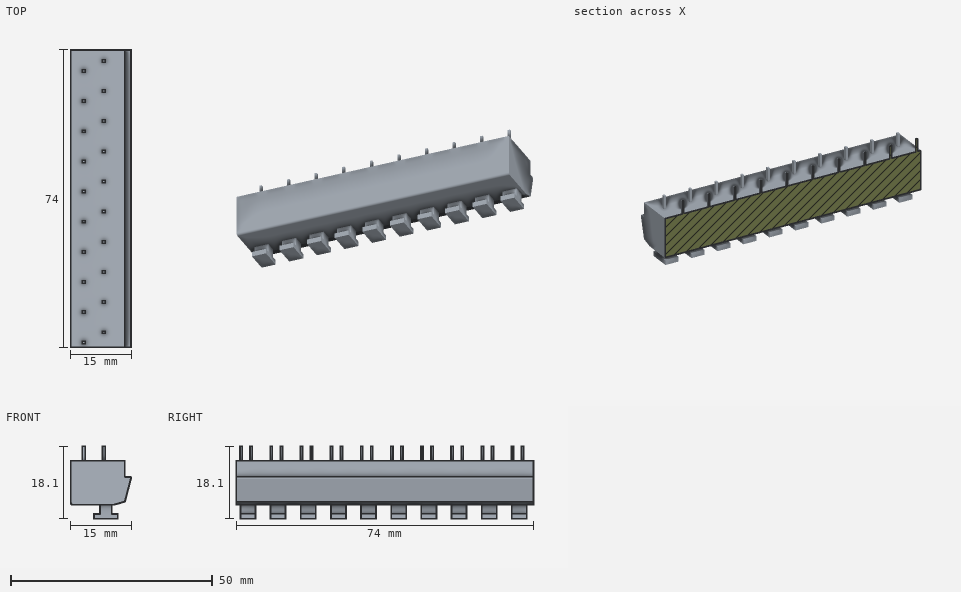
import cadquery as cq


pole_count = 10
pole_pitch = 7.5

length = 74.0
height = 11.0
top_width = 13.5
total_width = 15.0
lip_depth = 4.0
lip_edge_height = 0.5
slope_width = 2.8
slope_rise = 0.8
edge_radius = 0.55
lip_tip_radius = 0.25
lip_root_radius = 0.1

pin_width = 0.8
pin_thickness = 0.6
pin_height = 3.6
left_pin_x = 3.25
left_pin_y = 1.25
row_spacing = 5.0
row_stagger = 2.5
right_pin_x = left_pin_x + row_spacing
right_pin_y = left_pin_y + row_stagger

foot_x = 8.75
foot_y = 2.95
foot_length = 3.8
stem_width = 3.0
flange_width = 6.0
flange_thickness = 1.3
foot_height = 3.5


def edge_at(x, z):
    """Selector for the lengthwise housing edge through the given X and Z."""
    reach = 0.05
    low_corner = (x - reach, -reach, z - reach)
    high_corner = (x + reach, length + reach, z + reach)
    return cq.selectors.BoxSelector(low_corner, high_corner)


def make_housing():
    """Constant cross-section with a lip along the right side."""
    lip_z = height - lip_depth
    profile = [
        (0, 0),
        (top_width - slope_width, 0),
        (top_width, slope_rise),
        (total_width, lip_z - lip_edge_height),
        (total_width, lip_z),
        (top_width, lip_z),
        (top_width, height),
        (0, height),
    ]
    housing = cq.Workplane("XZ").polyline(profile).close().extrude(-length)
    housing = housing.edges(edge_at(0, 0)).fillet(edge_radius)
    housing = housing.edges(edge_at(total_width, lip_z)).fillet(lip_tip_radius)
    return housing.edges(edge_at(top_width, lip_z)).fillet(lip_root_radius)


def make_pin(x, y):
    """Rectangular pin standing on the top face."""
    pin = cq.Workplane("XY").box(pin_width, pin_thickness, pin_height, centered=(True, True, False))
    return pin.translate((x, y, height))


def make_foot(y):
    """Stem with a wider flange at its lower end."""
    stem = cq.Workplane("XY").box(stem_width, foot_length, foot_height, centered=(True, True, False))
    flange = cq.Workplane("XY").box(flange_width, foot_length, flange_thickness, centered=(True, True, False))
    return stem.union(flange).translate((foot_x, y, -foot_height))


result = make_housing()
for pole in range(pole_count):
    offset = pole * pole_pitch
    result = result.union(make_pin(left_pin_x, left_pin_y + offset))
    result = result.union(make_pin(right_pin_x, right_pin_y + offset))
    result = result.union(make_foot(foot_y + offset))